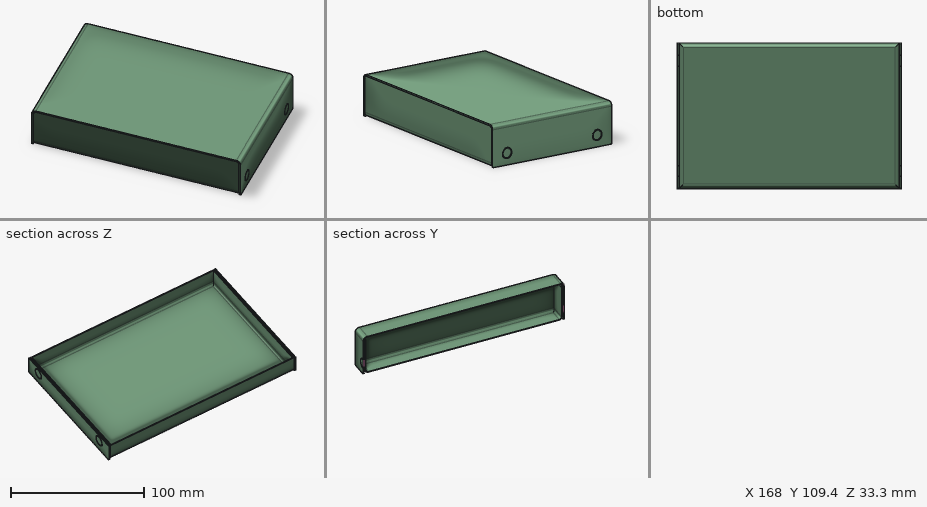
import cadquery as cq

WIDTH = 168.0
DEPTH = 109.4
HEIGHT = 33.3

SHEET = 1.2
BEND_RADIUS = 3.5
INNER_BEND_RADIUS = BEND_RADIUS - SHEET

COVER_CORNER_RADIUS = 1.0

SIDE_GAP = 0.42
TOP_GAP = 0.2
BASE_WIDTH = WIDTH - 2 * (SHEET + SIDE_GAP)
BASE_HEIGHT = HEIGHT - SHEET - TOP_GAP
PANEL_CORNER_RADIUS = INNER_BEND_RADIUS - TOP_GAP
BASE_CORNER_RADIUS = 3.0
SIDE_WALL_HEIGHT = HEIGHT - BEND_RADIUS

HEAD_DIAMETER = 7.5
HEAD_HOLE_DIAMETER = 8.5
HEAD_SPACING = 82.7
HEAD_HEIGHT = 9.4
SIDES = (-1, 1)
HEAD_CENTRES = [
    (end * HEAD_SPACING / 2, HEAD_HEIGHT)
    for end in SIDES
]


def block(width, depth, height):
    """Box centred on X and Y, standing on Z = 0."""
    return cq.Workplane("XY").box(width, depth, height, centered=(True, True, False))


def make_cover():
    """Sheet folded into an upside-down U, with clearance holes for the screw heads."""
    outer = block(WIDTH, DEPTH, HEIGHT).edges("|Y and >Z").fillet(BEND_RADIUS)
    outer = outer.edges("|X and <Z").fillet(COVER_CORNER_RADIUS)
    inner = block(WIDTH - 2 * SHEET, DEPTH, HEIGHT - SHEET)
    inner = inner.edges("|Y and >Z").fillet(INNER_BEND_RADIUS)
    holes = (
        cq.Workplane("YZ")
        .pushPoints(HEAD_CENTRES)
        .circle(HEAD_HOLE_DIAMETER / 2)
        .extrude(WIDTH / 2, both=True)
    )
    return outer.cut(inner).cut(holes)


def rounded_base_block(width, depth, height, side_radius, end_radius):
    """Box whose four bottom edges are rounded and meet in mitres at the corners."""
    along_depth = block(width, depth, height).edges("|Y and <Z").fillet(side_radius)
    along_width = block(width, depth, height).edges("|X and <Z").fillet(end_radius)
    return along_depth.intersect(along_width)


def make_base():
    """Open-topped tray: front and rear panels at full height, lower side walls."""
    outer = rounded_base_block(BASE_WIDTH, DEPTH, BASE_HEIGHT, BASE_CORNER_RADIUS, BEND_RADIUS)
    outer = outer.edges("|Y and >Z").fillet(PANEL_CORNER_RADIUS)
    inside_depth = DEPTH - 2 * SHEET
    cavity = rounded_base_block(
        BASE_WIDTH - 2 * SHEET,
        inside_depth,
        BASE_HEIGHT,
        BASE_CORNER_RADIUS - SHEET,
        INNER_BEND_RADIUS,
    ).translate((0, 0, SHEET))
    above_side_walls = block(WIDTH, inside_depth, HEIGHT).translate((0, 0, SIDE_WALL_HEIGHT))
    return outer.cut(cavity).cut(above_side_walls)


def make_screw_head(side, centre):
    """Flat disc, flush with the outer face of the cover and touching the base's side wall."""
    y, z = centre
    return (
        cq.Workplane("YZ", origin=(side * BASE_WIDTH / 2, y, z))
        .circle(HEAD_DIAMETER / 2)
        .extrude(side * (SHEET + SIDE_GAP))
    )


cover = make_cover()
base = make_base()
screw_heads = [
    make_screw_head(side, centre).val()
    for side in SIDES
    for centre in HEAD_CENTRES
]

result = cq.Compound.makeCompound([cover.val(), base.val(), *screw_heads])